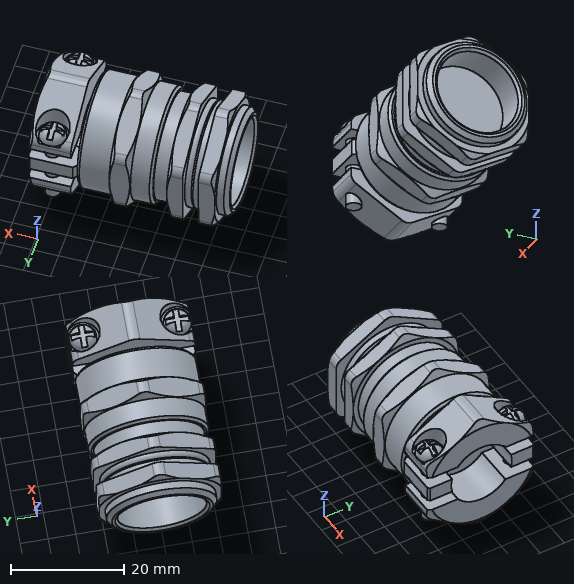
import cadquery as cq
import math

TOTAL_LENGTH = 36.7

ACROSS_FLATS = 22.0
HEX_EDGE_RADIUS = 2.02
HEX_CHAMFER_ANGLE = 30.0

THREAD_RADIUS = 19.85 / 2
THREAD_END = 6.9
THREAD_ENTRY_CHAMFER = 0.85
THREAD_EXIT_CHAMFER = 0.35
BORE_RADIUS = 16.0 / 2
BORE_DEPTH = 6.6
BORE_CHAMFER = 0.5

NUT_START = 2.2
NUT_WIDTH = 3.0
NUT_FACE_RADIUS = 11.25

SEAL_SECTION_RADIUS = 1.0
SEAL_CENTRE = 7.7

SEAL_COLLAR_START = 8.07
SEAL_COLLAR_WIDTH = 2.97
SLEEVE_RADIUS = 21.7 / 2
SLEEVE_START = 13.75
SLEEVE_END = 27.7
SLEEVE_CHAMFER = 0.5
SLEEVE_COLLAR_START = 17.75
SLEEVE_COLLAR_WIDTH = 3.93

JAW_START = 28.7
JAW_HALF_OPENING = 3.9
ARM_HALF_THICKNESS = 1.5
ARM_ROOT_CHAMFER = 0.65
ARM_TIP_CHAMFER = 0.4
CABLE_RADIUS = 12.5 / 2

SCREW_X = 32.77
SCREW_Y = 8.48
SHANK_RADIUS = 2.85 / 2
SHANK_BOTTOM = -9.2
HEAD_RADIUS = 2.5
HEAD_HEIGHT = 2.1
HEAD_ROUNDING = 2.0
HEAD_SEAT = 5.85
HEAD_POCKET_RADIUS = 3.0
CROSS_LENGTH = 4.2
CROSS_WIDTH = 1.0
CROSS_DEPTH = 0.88

CHAMFER_SLOPE = math.tan(math.radians(HEX_CHAMFER_ANGLE))
SHARP_CORNER_RADIUS = ACROSS_FLATS / 2 / math.cos(math.radians(30))
CLAMP_LENGTH = TOTAL_LENGTH - SLEEVE_END
GAP_HALF_WIDTH = (JAW_START - SLEEVE_END) / 2
SCREW_SIDES = (-1, 1)


def cylinder(radius, start, end):
    """Solid cylinder on the X axis between two positions."""
    return cq.Workplane("YZ", origin=(start, 0, 0)).circle(radius).extrude(end - start)


def revolved(points):
    """Solid of revolution about the X axis from (position, radius) points."""
    return cq.Workplane("XY").polyline(points).close().revolve(360, (0, 0, 0), (1, 0, 0))


def hexagon(start, width, left_radius=None, right_radius=None):
    """Hexagon with corners up and down; a given radius chamfers that end down to it."""
    end = start + width
    prism = (
        cq.Workplane("YZ", origin=(start, 0, 0))
        .transformed(rotate=(0, 0, 90))
        .polygon(6, 2 * SHARP_CORNER_RADIUS)
        .extrude(width)
        .edges("|X")
        .fillet(HEX_EDGE_RADIUS)
    )
    outline = [(start, 0)]
    if left_radius is None:
        outline.append((start, SHARP_CORNER_RADIUS))
    else:
        left_length = (SHARP_CORNER_RADIUS - left_radius) * CHAMFER_SLOPE
        outline += [(start, left_radius), (start + left_length, SHARP_CORNER_RADIUS)]
    if right_radius is None:
        outline.append((end, SHARP_CORNER_RADIUS))
    else:
        right_length = (SHARP_CORNER_RADIUS - right_radius) * CHAMFER_SLOPE
        outline += [(end - right_length, SHARP_CORNER_RADIUS), (end, right_radius)]
    outline.append((end, 0))
    return prism.intersect(revolved(outline))


def make_locknut():
    nut = hexagon(NUT_START, NUT_WIDTH, left_radius=NUT_FACE_RADIUS)
    return nut.cut(cylinder(THREAD_RADIUS, NUT_START, NUT_START + NUT_WIDTH))


def make_spigot():
    """Chamfered thread, rounded seal bead and the plain neck up to the sleeve."""
    bead_start_radius = THREAD_RADIUS - THREAD_EXIT_CHAMFER
    bead_axis_radius = THREAD_RADIUS - SEAL_SECTION_RADIUS
    start_reach = math.sqrt(SEAL_SECTION_RADIUS**2 - (bead_start_radius - bead_axis_radius) ** 2)
    end_reach = SEAL_COLLAR_START - SEAL_CENTRE
    bead_end_radius = bead_axis_radius + math.sqrt(SEAL_SECTION_RADIUS**2 - end_reach**2)
    return (
        cq.Workplane("XY")
        .moveTo(0, 0)
        .lineTo(0, THREAD_RADIUS - THREAD_ENTRY_CHAMFER)
        .lineTo(THREAD_ENTRY_CHAMFER, THREAD_RADIUS)
        .lineTo(THREAD_END - THREAD_EXIT_CHAMFER, THREAD_RADIUS)
        .lineTo(SEAL_CENTRE - start_reach, bead_start_radius)
        .threePointArc((SEAL_CENTRE, THREAD_RADIUS), (SEAL_COLLAR_START, bead_end_radius))
        .lineTo(SEAL_COLLAR_START, THREAD_RADIUS)
        .lineTo(SLEEVE_START, THREAD_RADIUS)
        .lineTo(SLEEVE_START, 0)
        .close()
        .revolve(360, (0, 0, 0), (1, 0, 0))
    )


def make_sleeve():
    return cylinder(SLEEVE_RADIUS, SLEEVE_START, SLEEVE_END).faces("<X or >X").chamfer(SLEEVE_CHAMFER)


def make_entry_bore():
    bore = cylinder(BORE_RADIUS, 0, BORE_DEPTH)
    mouth = revolved([(0, 0), (0, BORE_RADIUS + BORE_CHAMFER), (BORE_CHAMFER, BORE_RADIUS), (BORE_CHAMFER, 0)])
    return bore.union(mouth)


def make_jaws():
    """Chamfered hexagon split by a wide opening across Y."""
    block = hexagon(JAW_START, TOTAL_LENGTH - JAW_START, right_radius=ACROSS_FLATS / 2)
    opening = cq.Workplane("XY").box(
        TOTAL_LENGTH, 2 * SHARP_CORNER_RADIUS, 2 * JAW_HALF_OPENING, centered=(False, True, True)
    )
    return block.cut(opening)


def make_arms():
    """Plate through the clamp; the cable passage later parts it into two arms."""
    return (
        cq.Workplane("XY", origin=(SLEEVE_END, 0, 0))
        .box(CLAMP_LENGTH, ACROSS_FLATS, 2 * ARM_HALF_THICKNESS, centered=(False, True, True))
        .edges("|Z and <X")
        .chamfer(ARM_ROOT_CHAMFER)
        .edges("|Z and >X")
        .chamfer(ARM_TIP_CHAMFER)
    )


def make_cable_passage():
    """Bore through the clamp with a V groove at the gap behind the jaws."""
    return revolved([
        (SLEEVE_END, 0),
        (SLEEVE_END, CABLE_RADIUS),
        (SLEEVE_END + GAP_HALF_WIDTH, CABLE_RADIUS + GAP_HALF_WIDTH),
        (JAW_START, CABLE_RADIUS),
        (TOTAL_LENGTH, CABLE_RADIUS),
        (TOTAL_LENGTH, 0),
    ])


def make_head_pocket(side):
    return (
        cq.Workplane("XY", origin=(SCREW_X, side * SCREW_Y, HEAD_SEAT))
        .circle(HEAD_POCKET_RADIUS)
        .extrude(SHARP_CORNER_RADIUS)
    )


def make_screw(side):
    """Shank and rounded head with a cross recess."""
    seat = cq.Workplane("XY", origin=(SCREW_X, side * SCREW_Y, HEAD_SEAT))
    shank = seat.circle(SHANK_RADIUS).extrude(SHANK_BOTTOM - HEAD_SEAT)
    head = seat.circle(HEAD_RADIUS).extrude(HEAD_HEIGHT).faces(">Z").edges().fillet(HEAD_ROUNDING)
    recess_floor = seat.workplane(offset=HEAD_HEIGHT - CROSS_DEPTH)
    for length, width in ((CROSS_LENGTH, CROSS_WIDTH), (CROSS_WIDTH, CROSS_LENGTH)):
        head = head.cut(recess_floor.rect(length, width).extrude(CROSS_DEPTH))
    return head.union(shank)


def make_gland():
    """Spigot, collars, sleeve, clamp and screws as one solid."""
    clamp = make_jaws().union(make_arms()).cut(make_cable_passage())
    for side in SCREW_SIDES:
        clamp = clamp.cut(make_head_pocket(side))
        clamp = clamp.union(make_screw(side))
    seal_collar = hexagon(SEAL_COLLAR_START, SEAL_COLLAR_WIDTH, right_radius=ACROSS_FLATS / 2)
    sleeve_collar = hexagon(
        SLEEVE_COLLAR_START, SLEEVE_COLLAR_WIDTH, left_radius=SLEEVE_RADIUS, right_radius=SLEEVE_RADIUS
    )
    gland = make_spigot().union(seal_collar).union(make_sleeve()).union(sleeve_collar)
    return gland.cut(make_entry_bore()).union(clamp)


locknut = make_locknut()
gland = make_gland()

result = cq.Compound.makeCompound([gland.solids().val(), locknut.solids().val()])